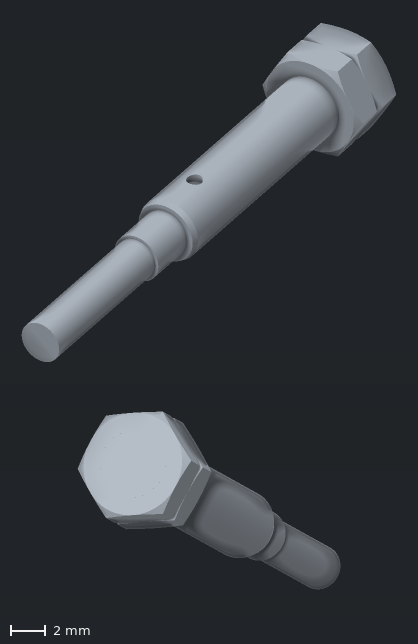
import cadquery as cq
import math

TOTAL_LENGTH = 32.0
CABLE_LENGTH = 10.0
SLEEVE_LENGTH = 3.0
BARREL_START = CABLE_LENGTH + SLEEVE_LENGTH

BARREL_DIAMETER = 4.0
SLEEVE_DIAMETER = 3.0
CABLE_DIAMETER = 2.6

BARREL_CHAMFER_LENGTH = 0.4
BARREL_CHAMFER_DEPTH = 0.13

RECESS_DIAMETER = 1.0
RECESS_DEPTH = 0.5
RECESS_Y = 16.0

NUT_COUNT = 2
HEXAGON_SIDES = 6
NUT_STACK_LENGTH = 4.0
NUT_THICKNESS = NUT_STACK_LENGTH / NUT_COUNT
NUT_ACROSS_FLATS = 6.0
NUT_CHAMFER_ANGLE = 30.0


def y_cylinder(diameter, start, length):
    """Cylinder about the Y axis that runs from start toward +Y."""
    axis = cq.Vector(0, 1, 0)
    solid = cq.Solid.makeCylinder(diameter / 2, length, cq.Vector(0, start, 0), axis)
    return cq.Workplane(solid)


def make_sensor():
    """Stepped round body: cable, sleeve and chamfered barrel with a recess."""
    cable_radius = CABLE_DIAMETER / 2
    sleeve_radius = SLEEVE_DIAMETER / 2
    barrel_radius = BARREL_DIAMETER / 2
    sensor = (
        cq.Workplane("XY")
        .lineTo(cable_radius, 0)
        .lineTo(cable_radius, CABLE_LENGTH)
        .lineTo(sleeve_radius, CABLE_LENGTH)
        .lineTo(sleeve_radius, BARREL_START)
        .lineTo(barrel_radius - BARREL_CHAMFER_DEPTH, BARREL_START)
        .lineTo(barrel_radius, BARREL_START + BARREL_CHAMFER_LENGTH)
        .lineTo(barrel_radius, TOTAL_LENGTH)
        .lineTo(0, TOTAL_LENGTH)
        .close()
        .revolve(360, (0, 0, 0), (0, 1, 0))
    )
    recess = (
        cq.Workplane("XY", origin=(0, RECESS_Y, barrel_radius - RECESS_DEPTH))
        .circle(RECESS_DIAMETER / 2)
        .extrude(BARREL_DIAMETER)
    )
    return cq.Workplane(sensor.cut(recess).solids().val())


def make_nut(start):
    """Hexagon nut with conically chamfered corners, from start toward +Y."""
    end = start + NUT_THICKNESS
    flat_radius = NUT_ACROSS_FLATS / 2
    corner_radius = flat_radius / math.cos(math.pi / HEXAGON_SIDES)
    chamfer_length = (corner_radius - flat_radius) * math.tan(math.radians(NUT_CHAMFER_ANGLE))
    hexagon = (
        cq.Workplane("XZ", origin=(0, start, 0))
        .polygon(HEXAGON_SIDES, 2 * corner_radius)
        .extrude(-NUT_THICKNESS)
    )
    blank = (
        cq.Workplane("XY")
        .moveTo(0, start)
        .lineTo(flat_radius, start)
        .lineTo(corner_radius, start + chamfer_length)
        .lineTo(corner_radius, end - chamfer_length)
        .lineTo(flat_radius, end)
        .lineTo(0, end)
        .close()
        .revolve(360, (0, 0, 0), (0, 1, 0))
    )
    bore = y_cylinder(BARREL_DIAMETER, start, NUT_THICKNESS)
    return cq.Workplane(hexagon.intersect(blank).cut(bore).solids().val())


sensor = make_sensor()

nuts = []
for index in range(NUT_COUNT):
    nut_start = TOTAL_LENGTH - (index + 1) * NUT_THICKNESS
    nuts.append(make_nut(nut_start).val())

result = cq.Compound.makeCompound([sensor.val(), *nuts])